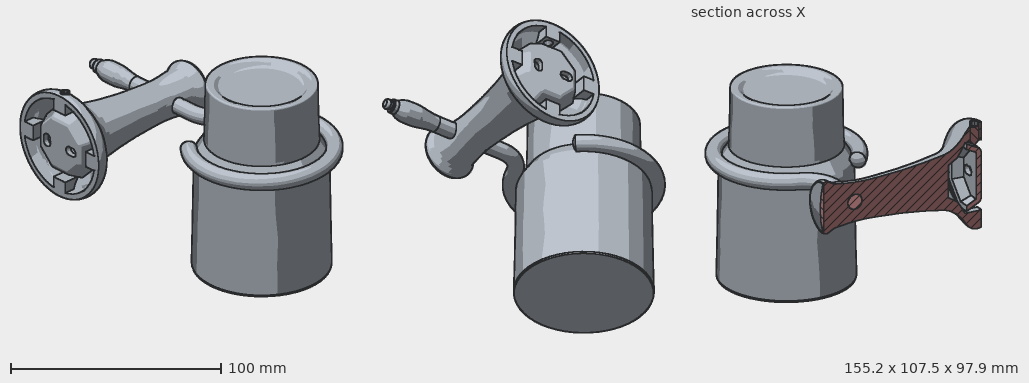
import cadquery as cq
import math


rod_radius = 4.0
rod_y = 68.77
ring_radius = 34.75
ring_x = 67.45
bend_radius = 15.5
ring_end_angle = 228.2
ring_end_dome = 1.5
rod_start_x = -19.5

finial_tip_x = -49.05
knob_tip_radius = 1.7
knob_radius = 2.5
knob_mid_x = -47.7
knob_end_x = -46.7
neck_radius = 1.9
collar_start_x = -45.6
collar_end_x = -43.0
collar_radius = 3.4
collar_chamfer = 0.5
bulb_start_radius = 3.5
bulb_radius = 5.35
bulb_start_x = -37.9
bulb_end_x = -30.9
bulb_crown = 0.12
bulb_rise_slope = 0.6
bulb_end_slope = 0.1

base_back_radius = 27.1
base_radius = 27.6
base_widest_y = 2.9
base_shoulder = (25.0, 7.4)
flare_start = (23.4, 8.8)
flare_middle = (18.4, 13.0)
flare_end = (15.5, 17.2)
stem_start = (14.5, 20.0)
stem_middle = (12.0, 36.0)
stem_narrow = (10.4, 55.3)
waist = (10.1, 65.0)
stem_top = (11.2, 77.3)
neck_line = (11.4, 79.2)
head_flare_start = (11.9, 80.7)
head_flare_end = (13.1, 82.9)
bead = (13.6, 84.3)
head_top = (13.0, 85.8)

hollow_radius = 24.2
hollow_wall_y = 5.1
hollow_cone_start = (22.0, 6.5)
hollow_cone_slope = 0.65
hollow_knee = (11.5, 12.8)
hollow_floor = (8.2, 18.0)
tab_width = 8.0
tab_inner_radius = 18.1

cap_radius = 12.8
cap_edge = 0.5
cap_height = 2.0

block_depth = 8.0
block_back_apothem = 17.5
block_draft = 27.0
block_fillet = 3.0
block_wall = 3.0
slot_length = 6.7
slot_width = 4.5
upright_slot_x = -8.45
level_slot_x = 7.9

screw_radius = 2.25
screw_y = 3.75
screw_top_z = 28.0
screw_point_z = 15.8
socket_width = 2.5
socket_depth = 2.5

tumbler_top_z = 35.0
tumbler_height = 97.9
top_edge_radius = 0.9
foot_height = 0.9
foot_inset = 0.3
top_radius = 26.9
shoulder_top = (27.5, 6.0)
shoulder_start = (27.6, 4.6)
shoulder_end = (31.8, -1.7)
body_top = (32.5, -4.1)
body_bottom_radius = 33.5
dish_rim_radius = 24.6
dish_slope_start = (22.2, 1.0)
dish_slope_end = (21.2, 2.0)
dish_floor_radius = 19.3
dish_depth = 2.8


def make_rod():
    """Straight rod, reverse bend and open ring as one round bar with a domed end."""
    centre_gap = ring_radius + bend_radius
    bend_x = ring_x - math.sqrt(centre_gap**2 - bend_radius**2)
    bend_centre = cq.Vector(bend_x, rod_y + bend_radius)
    ring_centre = cq.Vector(ring_x, rod_y)

    def polar(centre, radius, angle):
        turn = math.radians(angle)
        return (centre.x + radius * math.cos(turn), centre.y + radius * math.sin(turn))

    join_angle = 180 - math.degrees(math.asin(bend_radius / centre_gap))
    bend_end_angle = join_angle - 180
    ring_sweep_end = ring_end_angle - 360
    path = (
        cq.Workplane("XY")
        .moveTo(rod_start_x, rod_y)
        .lineTo(bend_x, rod_y)
        .threePointArc(
            polar(bend_centre, bend_radius, (bend_end_angle - 90) / 2),
            polar(bend_centre, bend_radius, bend_end_angle),
        )
        .threePointArc(
            polar(ring_centre, ring_radius, (join_angle + ring_sweep_end) / 2),
            polar(ring_centre, ring_radius, ring_sweep_end),
        )
    )
    section = cq.Workplane("YZ", origin=(rod_start_x, rod_y, 0)).circle(rod_radius)
    bar = section.sweep(path)

    end_x, end_y = polar(ring_centre, ring_radius, ring_sweep_end)
    outward_x, outward_y = polar(cq.Vector(0, 0), 1, ring_end_angle)
    end_plane = cq.Plane(
        origin=(end_x, end_y, 0),
        xDir=(outward_x, outward_y, 0),
        normal=(0, 0, -1),
    )
    dome_radius = (rod_radius**2 + ring_end_dome**2) / (2 * ring_end_dome)
    dome = (
        cq.Workplane(end_plane)
        .lineTo(rod_radius, 0)
        .radiusArc((0, ring_end_dome), -dome_radius)
        .close()
        .revolve(360, (0, 0, 0), (0, 1, 0))
    )
    return bar.union(dome)


def make_finial():
    """Turned finial that continues the rod: knob, neck, collar and bulb."""
    bulb_middle_x = (bulb_start_x + bulb_end_x) / 2
    rise_slopes = [(1, bulb_rise_slope), (1, bulb_end_slope)]
    fall_slopes = [(1, -bulb_end_slope), (1, 0)]
    profile = (
        cq.Workplane("XY", origin=(0, rod_y, 0))
        .moveTo(finial_tip_x, 0)
        .lineTo(finial_tip_x, knob_tip_radius)
        .threePointArc((knob_mid_x, knob_radius), (knob_end_x, neck_radius))
        .lineTo(collar_start_x, neck_radius)
        .lineTo(collar_start_x, collar_radius - collar_chamfer)
        .lineTo(collar_start_x + collar_chamfer, collar_radius)
        .lineTo(collar_end_x, collar_radius)
        .lineTo(collar_end_x, bulb_start_radius)
        .spline([(bulb_start_x, bulb_radius)], rise_slopes, includeCurrent=True)
        .threePointArc((bulb_middle_x, bulb_radius + bulb_crown), (bulb_end_x, bulb_radius))
        .spline([(rod_start_x, rod_radius)], fall_slopes, includeCurrent=True)
        .lineTo(rod_start_x, 0)
        .close()
    )
    return profile.revolve(360, (0, 0, 0), (1, 0, 0))


def make_post():
    """Flared post with a hollow base, four tabs, and holes for the rod and the set screw."""
    body = (
        cq.Workplane("XY")
        .lineTo(base_back_radius, 0)
        .threePointArc((base_radius, base_widest_y), base_shoulder)
        .lineTo(*flare_start)
        .threePointArc(flare_middle, flare_end)
        .lineTo(*stem_start)
        .threePointArc(stem_middle, stem_narrow)
        .threePointArc(waist, stem_top)
        .lineTo(*neck_line)
        .lineTo(*head_flare_start)
        .lineTo(*head_flare_end)
        .threePointArc(bead, head_top)
        .lineTo(0, head_top[1])
        .close()
        .revolve(360, (0, 0, 0), (0, 1, 0))
    )
    hollow = (
        cq.Workplane("XY")
        .lineTo(hollow_radius, 0)
        .lineTo(hollow_radius, hollow_wall_y)
        .spline([hollow_cone_start], tangents=[(0, 1), (-1, hollow_cone_slope)], includeCurrent=True)
        .lineTo(*hollow_knee)
        .lineTo(*hollow_floor)
        .lineTo(0, hollow_floor[1])
        .close()
        .revolve(360, (0, 0, 0), (0, 1, 0))
    )
    tab_length = hollow_radius - tab_inner_radius
    for quarter in range(4):
        tab = (
            cq.Workplane("XY")
            .box(tab_length, hollow_floor[1], tab_width, centered=(False, False, True))
            .translate((tab_inner_radius, 0, 0))
            .rotate((0, 0, 0), (0, 1, 0), 90 * quarter)
        )
        hollow = hollow.cut(tab)
    rod_hole = (
        cq.Workplane("YZ", origin=(-base_radius, rod_y, 0)).circle(rod_radius).extrude(2 * base_radius)
    )
    screw_hole = (
        cq.Workplane("XY", origin=(0, screw_y, screw_point_z))
        .circle(screw_radius)
        .extrude(base_radius)
    )
    return body.cut(hollow).cut(rod_hole).cut(screw_hole)


def make_cap():
    """Low domed cap on the free end of the post."""
    seat_y = head_top[1]
    crown_y = seat_y + cap_height
    dome_height = cap_height - cap_edge
    dome_radius = (cap_radius**2 + dome_height**2) / (2 * dome_height)
    return (
        cq.Workplane("XY")
        .moveTo(0, seat_y)
        .lineTo(cap_radius, seat_y)
        .lineTo(cap_radius, seat_y + cap_edge)
        .radiusArc((0, crown_y), -dome_radius)
        .close()
        .revolve(360, (0, 0, 0), (0, 1, 0))
    )


def octagon_prism(back_apothem, depth):
    """Octagon with flats square to X and Z, tapering from the block's back plane towards the wall."""
    half_side_angle = 180 / 8
    corner_radius = back_apothem / math.cos(math.radians(half_side_angle))
    return (
        cq.Workplane("XZ", origin=(0, block_depth, 0))
        .transformed(rotate=(0, 0, half_side_angle))
        .polygon(8, 2 * corner_radius)
        .extrude(depth, taper=block_draft)
    )


def make_block():
    """Hollow octagonal mounting block with two screw slots at right angles."""
    block = (
        octagon_prism(block_back_apothem, block_depth)
        .edges("<Y or (not #Y)")
        .fillet(block_fillet)
    )
    block = block.cut(octagon_prism(block_back_apothem - block_wall, block_depth - block_wall))
    for slot_x, turn in ((upright_slot_x, 90), (level_slot_x, 0)):
        slot = (
            cq.Workplane("XZ", origin=(slot_x, block_depth, 0))
            .slot2D(slot_length, slot_width, turn)
            .extrude(block_depth)
        )
        block = block.cut(slot)
    return block


def make_screw():
    """Cone-pointed set screw with a hexagon socket."""
    body = (
        cq.Workplane("XZ", origin=(0, screw_y, 0))
        .moveTo(0, screw_point_z)
        .lineTo(screw_radius, screw_point_z + screw_radius)
        .lineTo(screw_radius, screw_top_z)
        .lineTo(0, screw_top_z)
        .close()
        .revolve(360, (0, 0, 0), (0, 1, 0))
    )
    socket = (
        cq.Workplane("XY", origin=(0, screw_y, screw_top_z))
        .polygon(6, socket_width, circumscribed=True)
        .extrude(-socket_depth)
    )
    return body.cut(socket)


def make_tumbler(rod):
    """Stepped round tumbler with a dished top, relieved where the ring bears on its shoulder."""
    bottom_z = tumbler_top_z - tumbler_height
    body = (
        cq.Workplane("XZ", origin=(ring_x, rod_y, 0))
        .moveTo(0, bottom_z)
        .lineTo(body_bottom_radius - foot_inset, bottom_z)
        .lineTo(body_bottom_radius, bottom_z + foot_height)
        .lineTo(*body_top)
        .lineTo(*shoulder_end)
        .lineTo(*shoulder_start)
        .lineTo(*shoulder_top)
        .lineTo(top_radius, tumbler_top_z - top_edge_radius)
        .radiusArc((top_radius - top_edge_radius, tumbler_top_z), -top_edge_radius)
        .lineTo(dish_rim_radius, tumbler_top_z)
        .tangentArcPoint((dish_slope_start[0], tumbler_top_z - dish_slope_start[1]), relative=False)
        .lineTo(dish_slope_end[0], tumbler_top_z - dish_slope_end[1])
        .tangentArcPoint((dish_floor_radius, tumbler_top_z - dish_depth), relative=False)
        .lineTo(0, tumbler_top_z - dish_depth)
        .close()
        .revolve(360, (0, 0, 0), (0, 1, 0))
    )
    return body.cut(rod)


rod = make_rod()
finial = make_finial()
screw = make_screw()
post = make_post()
cap = make_cap()
block = make_block()
tumbler = make_tumbler(rod)

result = cq.Compound.makeCompound(
    [rod.val(), finial.val(), post.val(), cap.val(), block.val(), screw.val(), tumbler.val()]
)